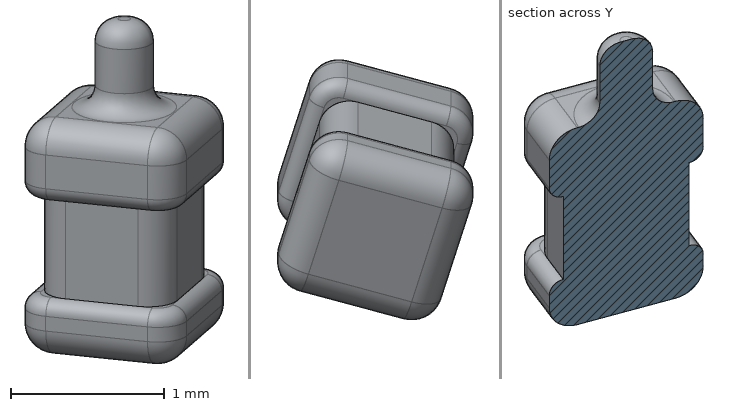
import cadquery as cq
import math

TOTAL_HEIGHT = 2.2
BLOCK_WIDTH = 1.1

CORNER_RADIUS = 0.2
INNER_RADIUS = CORNER_RADIUS / 2
PIN_RADIUS_BLEND = 0.15

BASE_HEIGHT = 0.4
HEAD_HEIGHT = 0.53
PIN_HEIGHT = 0.6
WAIST_HEIGHT = TOTAL_HEIGHT - BASE_HEIGHT - HEAD_HEIGHT - PIN_HEIGHT

WAIST_WIDTH = BLOCK_WIDTH - 2 * INNER_RADIUS
PIN_DIAMETER = 0.38

BASE_BOTTOM = -TOTAL_HEIGHT / 2
WAIST_BOTTOM = BASE_BOTTOM + BASE_HEIGHT
HEAD_BOTTOM = WAIST_BOTTOM + WAIST_HEIGHT
PIN_BOTTOM = HEAD_BOTTOM + HEAD_HEIGHT


def square_bar(width, height, bottom):
    """Square upright bar standing on the given level."""
    return cq.Workplane("XY").workplane(offset=bottom).rect(width, width).extrude(height)


def rounded_block(height, bottom, outer_end, inner_end):
    """Block with ball corners at its outer end and a smaller rounding at its inner end."""
    block = square_bar(BLOCK_WIDTH, height, bottom)
    block = block.edges(f"|Z or {outer_end}").fillet(CORNER_RADIUS)
    return block.faces(inner_end).edges().fillet(INNER_RADIUS)


def pin():
    """Round pin with a rounded tip and a concave flared foot, as one revolved profile."""
    radius = PIN_DIAMETER / 2
    blend = PIN_RADIUS_BLEND
    diagonal = blend * math.cos(math.radians(45))
    foot_radius = radius + blend
    root = PIN_BOTTOM - HEAD_HEIGHT / 2
    foot_top = PIN_BOTTOM + blend
    tip = PIN_BOTTOM + PIN_HEIGHT
    shoulder = tip - blend
    flat_radius = radius - blend
    profile = (
        cq.Workplane("XZ")
        .moveTo(0, root)
        .lineTo(foot_radius, root)
        .lineTo(foot_radius, PIN_BOTTOM)
        .threePointArc((foot_radius - diagonal, foot_top - diagonal), (radius, foot_top))
        .lineTo(radius, shoulder)
        .threePointArc((flat_radius + diagonal, shoulder + diagonal), (flat_radius, tip))
        .lineTo(0, tip)
        .close()
    )
    return profile.revolve(360, (0, 0, 0), (0, 1, 0))


base = rounded_block(BASE_HEIGHT, BASE_BOTTOM, "<Z", ">Z")
waist = square_bar(WAIST_WIDTH, WAIST_HEIGHT, WAIST_BOTTOM).edges("|Z").fillet(CORNER_RADIUS)
head = rounded_block(HEAD_HEIGHT, HEAD_BOTTOM, ">Z", "<Z")

result = base.union(waist).union(head).union(pin())